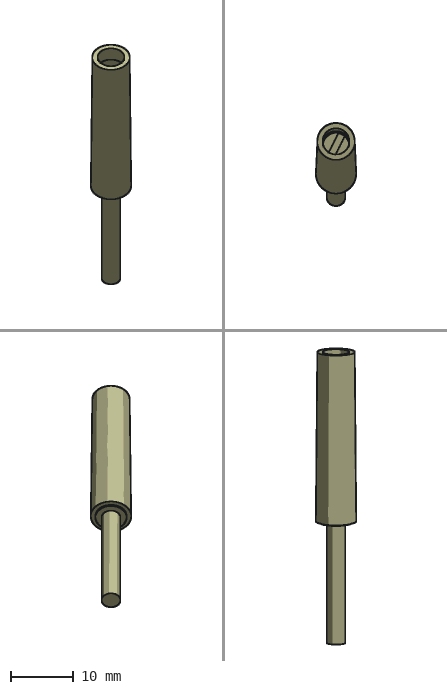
import cadquery as cq

total_length = 47.1
pin_length = 19.4
collar_height = 0.3
mouth_depth = 2.4
bore_depth = 3.75

body_bottom_diameter = 6.45
body_top_diameter = 6.0
collar_diameter = 5.0
pin_diameter = 3.0
mouth_diameter = 4.25
bore_diameter = 4.2

slot_width = 1.15
slot_depth = 0.2
slot_angle = 45.0

body_bottom = pin_length + collar_height
bore_floor = total_length - bore_depth


def turned_body():
    """Pin, thin collar and tapered sleeve revolved about the Z axis."""
    return (
        cq.Workplane("XZ")
        .moveTo(0, 0)
        .lineTo(pin_diameter / 2, 0)
        .lineTo(pin_diameter / 2, pin_length)
        .lineTo(collar_diameter / 2, pin_length)
        .lineTo(collar_diameter / 2, body_bottom)
        .lineTo(body_bottom_diameter / 2, body_bottom)
        .lineTo(body_top_diameter / 2, total_length)
        .lineTo(0, total_length)
        .close()
        .revolve(360, (0, 0, 0), (0, 1, 0))
    )


def round_pocket(diameter, depth):
    """Cylinder reaching down from the top of the sleeve."""
    return cq.Workplane("XY").workplane(offset=total_length - depth).circle(diameter / 2).extrude(depth)


def stepped_bore():
    """Round recess whose mouth is slightly wider than its lower part."""
    return round_pocket(mouth_diameter, mouth_depth).union(round_pocket(bore_diameter, bore_depth))


def driver_slot():
    """Shallow round-bottomed slot across the bore floor, ending at the bore wall."""
    groove = (
        cq.Workplane("YZ")
        .moveTo(-slot_width / 2, bore_floor)
        .threePointArc((0, bore_floor - slot_depth), (slot_width / 2, bore_floor))
        .close()
        .extrude(bore_diameter, both=True)
        .rotate((0, 0, 0), (0, 0, 1), slot_angle)
    )
    return groove.intersect(round_pocket(bore_diameter, bore_depth + slot_depth))


result = turned_body().cut(stepped_bore()).cut(driver_slot())